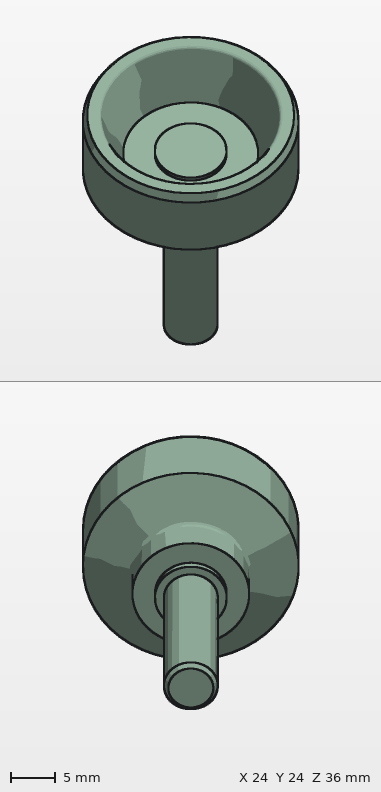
import cadquery as cq

total_height = 36.0

knob_diameter = 24.0
rim_chamfer_height = 1.0
rim_chamfer_width = 0.5
grip_bottom_depth = 9.0
hub_diameter = 13.0
hub_top_depth = 11.1
hub_bottom_depth = 15.1
hub_fillet_radius = 0.5

dish_diameter = 20.0
dish_floor_diameter = 15.0
dish_depth = 6.5
dish_edge_fillet_radius = 0.5

insert_diameter = 8.0
insert_projection = 0.9
insert_top_depth = 6.0
shank_diameter = 6.0
tip_chamfer = 0.5

selection_margin = 0.05

knob_radius = knob_diameter / 2
hub_radius = hub_diameter / 2
dish_radius = dish_diameter / 2
grip_bottom_z = total_height - grip_bottom_depth
hub_top_z = total_height - hub_top_depth
hub_bottom_z = total_height - hub_bottom_depth
dish_floor_z = total_height - dish_depth
insert_top_z = total_height - insert_top_depth
insert_bottom_z = hub_bottom_z - insert_projection


def fillet_circle(body, circle_radius, height, fillet_radius):
    """Round the circular edge of the given radius, centred on the axis at this height."""
    circle_box = cq.selectors.BoxSelector(
        (-circle_radius - selection_margin, -circle_radius - selection_margin, height - selection_margin),
        (circle_radius + selection_margin, circle_radius + selection_margin, height + selection_margin),
        boundingbox=True,
    )
    return body.edges(circle_box).fillet(fillet_radius)


def make_knob():
    """Turned knob with a dished top and a through bore for the stud's insert."""
    bore_radius = insert_diameter / 2
    profile = (
        cq.Workplane("XZ")
        .moveTo(bore_radius, hub_bottom_z)
        .lineTo(hub_radius, hub_bottom_z)
        .lineTo(hub_radius, hub_top_z)
        .lineTo(knob_radius, grip_bottom_z)
        .lineTo(knob_radius, total_height - rim_chamfer_height)
        .lineTo(knob_radius - rim_chamfer_width, total_height)
        .lineTo(dish_radius, total_height)
        .lineTo(dish_floor_diameter / 2, dish_floor_z)
        .lineTo(bore_radius, dish_floor_z)
        .close()
    )
    body = profile.revolve(360, (0, 0, 0), (0, 1, 0))
    body = fillet_circle(body, hub_radius, hub_top_z, hub_fillet_radius)
    return fillet_circle(body, dish_radius, total_height, dish_edge_fillet_radius)


def make_stud():
    """Shank with a chamfered tip and a wider insert standing just above the dish floor."""
    shank = (
        cq.Workplane("XY")
        .circle(shank_diameter / 2)
        .extrude(insert_bottom_z)
        .faces("<Z")
        .chamfer(tip_chamfer)
    )
    insert = (
        cq.Workplane("XY", origin=(0, 0, insert_bottom_z))
        .circle(insert_diameter / 2)
        .extrude(insert_top_z - insert_bottom_z)
    )
    return shank.union(insert)


knob = make_knob()
stud = make_stud()

result = cq.Compound.makeCompound([knob.val(), stud.val()])